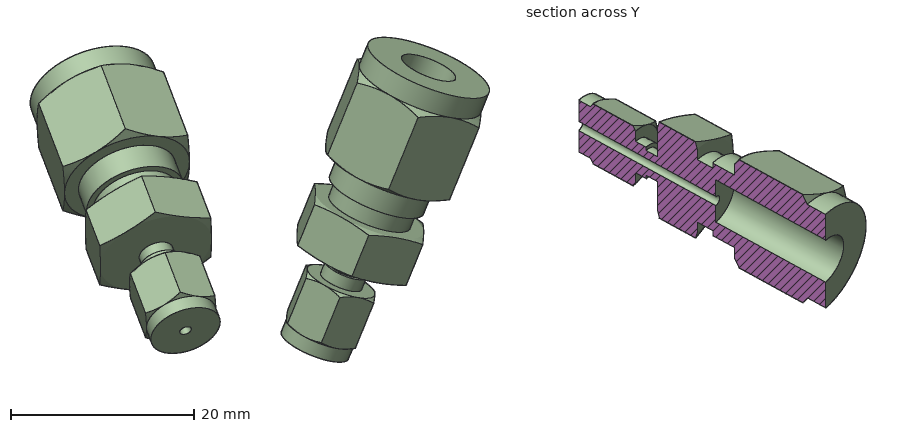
import cadquery as cq
import math


LARGE_NUT_FLATS = 14.2875
BODY_HEX_FLATS = 12.7
SMALL_NUT_FLATS = 7.9375

NUT_CHAMFER_ANGLE = 30
BODY_CHAMFER_ANGLE = 15

LARGE_COLLAR_DIAMETER = LARGE_NUT_FLATS
LARGE_THREAD_DIAMETER = 11.11
LARGE_NECK_DIAMETER = 9.6
SMALL_NECK_DIAMETER = 3.86
SMALL_THREAD_DIAMETER = 4.85
SMALL_COLLAR_DIAMETER = SMALL_NUT_FLATS

LARGE_COLLAR_LENGTH = 2.54
LARGE_NUT_LENGTH = 10.16
LARGE_THREAD_LENGTH = 2.99
LARGE_NECK_LENGTH = 2.11
BODY_HEX_LENGTH = 5.59
SMALL_NECK_LENGTH = 1.53
SMALL_THREAD_LENGTH = 1.46
SMALL_NUT_LENGTH = 6.3
OVERALL_LENGTH = 34.29

SOCKET_DIAMETER = 6.35
SOCKET_DEPTH = 15.24
PASSAGE_DIAMETER = 1.32


def cylinder(start, length, diameter):
    """Cylinder along +X, beginning at X = start."""
    return cq.Workplane("YZ", origin=(start, 0, 0)).circle(diameter / 2).extrude(length)


def chamfered_hex(start, length, flats, chamfer_angle):
    """Hexagonal prism along +X with its corners coned off at both ends, down to the flats."""
    flat_radius = flats / 2
    corner_radius = flat_radius / math.cos(math.radians(30))
    cone_length = (corner_radius - flat_radius) * math.tan(math.radians(chamfer_angle))
    end = start + length

    prism = (
        cq.Workplane("YZ", origin=(start, 0, 0))
        .polygon(6, 2 * corner_radius)
        .extrude(length)
        .rotate((0, 0, 0), (1, 0, 0), 90)
    )
    envelope = (
        cq.Workplane("XY")
        .moveTo(start, 0)
        .lineTo(start, flat_radius)
        .lineTo(start + cone_length, corner_radius)
        .lineTo(end - cone_length, corner_radius)
        .lineTo(end, flat_radius)
        .lineTo(end, 0)
        .close()
        .revolve(360, (0, 0, 0), (1, 0, 0))
    )
    return prism.intersect(envelope)


large_nut_start = LARGE_COLLAR_LENGTH
large_thread_start = large_nut_start + LARGE_NUT_LENGTH
large_neck_start = large_thread_start + LARGE_THREAD_LENGTH
body_hex_start = large_neck_start + LARGE_NECK_LENGTH
small_neck_start = body_hex_start + BODY_HEX_LENGTH
small_thread_start = small_neck_start + SMALL_NECK_LENGTH
small_nut_start = small_thread_start + SMALL_THREAD_LENGTH
small_collar_start = small_nut_start + SMALL_NUT_LENGTH
small_collar_length = OVERALL_LENGTH - small_collar_start

sections = [
    chamfered_hex(large_nut_start, LARGE_NUT_LENGTH, LARGE_NUT_FLATS, NUT_CHAMFER_ANGLE),
    cylinder(large_thread_start, LARGE_THREAD_LENGTH, LARGE_THREAD_DIAMETER),
    cylinder(large_neck_start, LARGE_NECK_LENGTH, LARGE_NECK_DIAMETER),
    chamfered_hex(body_hex_start, BODY_HEX_LENGTH, BODY_HEX_FLATS, BODY_CHAMFER_ANGLE),
    cylinder(small_neck_start, SMALL_NECK_LENGTH, SMALL_NECK_DIAMETER),
    cylinder(small_thread_start, SMALL_THREAD_LENGTH, SMALL_THREAD_DIAMETER),
    chamfered_hex(small_nut_start, SMALL_NUT_LENGTH, SMALL_NUT_FLATS, NUT_CHAMFER_ANGLE),
    cylinder(small_collar_start, small_collar_length, SMALL_COLLAR_DIAMETER),
]

fitting = cylinder(0, LARGE_COLLAR_LENGTH, LARGE_COLLAR_DIAMETER)
for section in sections:
    fitting = fitting.union(section)

socket = cylinder(0, SOCKET_DEPTH, SOCKET_DIAMETER)
passage = cylinder(0, OVERALL_LENGTH, PASSAGE_DIAMETER)
result = fitting.cut(socket).cut(passage)